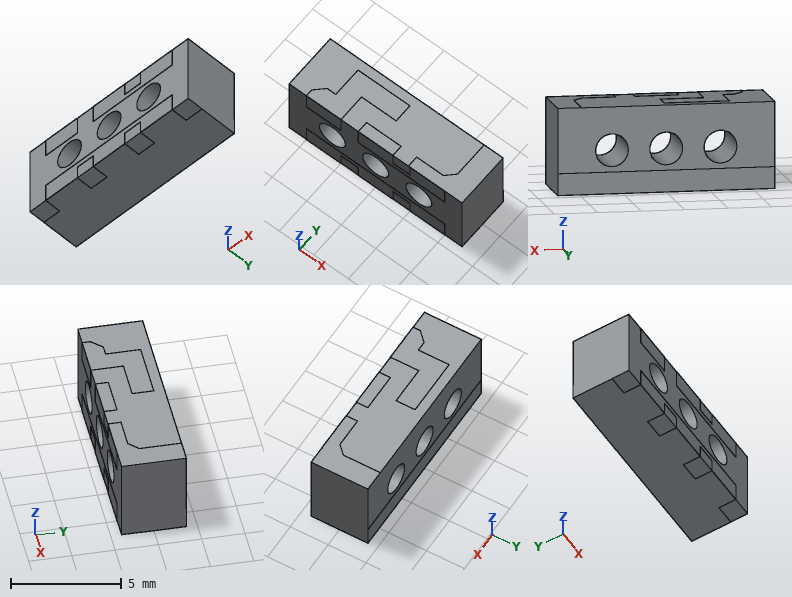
import cadquery as cq

LENGTH = 10.0
WIDTH = 3.0
HEIGHT = 4.0
PLATING = 0.01

HOLE_DIAMETER = 1.5
HOLE_PITCH = 2.5

BAND_HEIGHT = 1.0
END_MARGIN = 1.0
PAD_LENGTH = 2.0
GAP = 1.0
NOTCH_HEIGHT = 0.7

FIRST_PAD_END = END_MARGIN + PAD_LENGTH
SECOND_PAD_START = FIRST_PAD_END + GAP
SECOND_PAD_END = SECOND_PAD_START + PAD_LENGTH
BAND_END = LENGTH - END_MARGIN

SHORT_PAD_WIDTH = 0.6
HOOK_LINE_WIDTH = 1.0
HOOK_TIP_X = 5.0
HOOK_BACK_Y = 2.5
HOOK_SHOULDER_Y = 0.88
HOOK_BEVEL = 0.5
CORNER_PAD_START = 6.9
CORNER_LEG_X = 8.9
CORNER_BEVEL = 0.45

CLEARANCE_WIDTH = 0.9

LEFT = -LENGTH / 2
FRONT = -WIDTH / 2
BACK = WIDTH / 2
BOTTOM = -HEIGHT / 2
TOP = HEIGHT / 2


def box_between(low, high):
    """Axis-aligned box given by two opposite corners."""
    size = [b - a for a, b in zip(low, high)]
    return cq.Workplane("XY").box(*size, centered=False).translate(low)


def front_plate(x_start, x_end, z_low, z_high):
    """Plated rectangle on the front face, X measured from the left end."""
    return box_between(
        (LEFT + x_start, FRONT - PLATING, z_low),
        (LEFT + x_end, FRONT, z_high),
    )


def top_plate(outline):
    """Plated polygon on the top face, points measured from the front left corner."""
    return (
        cq.Workplane("XY", origin=(LEFT, FRONT, TOP))
        .polyline(outline)
        .close()
        .extrude(PLATING)
    )


def drilled_block():
    block = cq.Workplane("XY").box(LENGTH, WIDTH, HEIGHT)
    hole_centres = [(step * HOLE_PITCH, 0) for step in (-1, 0, 1)]
    holes = (
        cq.Workplane("XZ")
        .pushPoints(hole_centres)
        .circle(HOLE_DIAMETER / 2)
        .extrude(WIDTH / 2, both=True)
    )
    return block.cut(holes)


def front_plating():
    upper_low = TOP - BAND_HEIGHT
    lower_high = BOTTOM + BAND_HEIGHT

    upper_left = front_plate(END_MARGIN, FIRST_PAD_END, upper_low, TOP)
    upper_right = front_plate(SECOND_PAD_START, BAND_END, upper_low, TOP)
    lower = front_plate(END_MARGIN, BAND_END, BOTTOM, lower_high)

    upper_right = upper_right.cut(
        front_plate(SECOND_PAD_END, SECOND_PAD_END + GAP, TOP - NOTCH_HEIGHT, TOP)
    )
    for notch_start in (FIRST_PAD_END, SECOND_PAD_END):
        lower = lower.cut(
            front_plate(notch_start, notch_start + GAP, BOTTOM, BOTTOM + NOTCH_HEIGHT)
        )
    return [upper_left, upper_right, lower]


def top_plating():
    hook_inner_y = HOOK_BACK_Y - HOOK_LINE_WIDTH
    hook_left_x = FIRST_PAD_END - HOOK_LINE_WIDTH
    hook = [
        (END_MARGIN, 0),
        (END_MARGIN, HOOK_SHOULDER_Y - HOOK_BEVEL),
        (END_MARGIN + HOOK_BEVEL, HOOK_SHOULDER_Y),
        (hook_left_x, HOOK_SHOULDER_Y),
        (hook_left_x, HOOK_BACK_Y),
        (HOOK_TIP_X, HOOK_BACK_Y),
        (HOOK_TIP_X, hook_inner_y),
        (FIRST_PAD_END, hook_inner_y),
        (FIRST_PAD_END, 0),
    ]
    short_pad = [
        (SECOND_PAD_START, 0),
        (SECOND_PAD_START, SHORT_PAD_WIDTH),
        (SECOND_PAD_END, SHORT_PAD_WIDTH),
        (SECOND_PAD_END, 0),
    ]
    corner_pad = [
        (CORNER_PAD_START, 0),
        (CORNER_PAD_START, SHORT_PAD_WIDTH),
        (CORNER_LEG_X - CORNER_BEVEL, SHORT_PAD_WIDTH),
        (CORNER_LEG_X, SHORT_PAD_WIDTH + CORNER_BEVEL),
        (CORNER_LEG_X, WIDTH),
        (LENGTH, WIDTH),
        (LENGTH, 0),
    ]
    return [top_plate(outline) for outline in (hook, short_pad, corner_pad)]


def bottom_plating():
    """Plating over the bottom face, with bare clearances along the front edge."""
    plate = box_between((LEFT, FRONT, BOTTOM - PLATING), (-LEFT, BACK, BOTTOM))
    for start, end in (
        (0, END_MARGIN),
        (FIRST_PAD_END, FIRST_PAD_END + GAP),
        (SECOND_PAD_END, SECOND_PAD_END + GAP),
        (BAND_END, LENGTH),
    ):
        clearance = box_between(
            (LEFT + start, FRONT, BOTTOM - PLATING),
            (LEFT + end, FRONT + CLEARANCE_WIDTH, BOTTOM),
        )
        plate = plate.cut(clearance)
    return plate


def back_plating():
    """Full-length strip along the lower edge of the back face."""
    return box_between(
        (LEFT, BACK, BOTTOM),
        (-LEFT, BACK + PLATING, BOTTOM + BAND_HEIGHT),
    )


result = drilled_block().union(bottom_plating()).union(back_plating())
for plate in top_plating() + front_plating():
    result = result.union(plate)